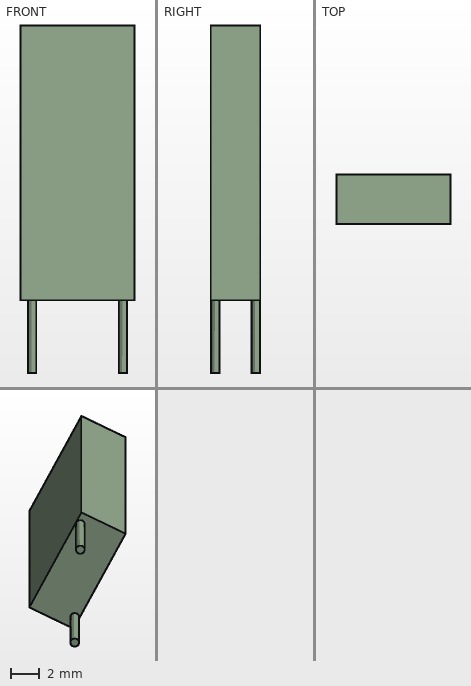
import cadquery as cq

width = 8.0
depth = 3.5
total_height = 24.4

lead_diameter = 0.6
lead_length = 5.1
lead_spacing = 6.37
lead_row_spacing = 2.83

housing_height = total_height - lead_length
lead_x = lead_spacing / 2
lead_y = lead_row_spacing / 2


def make_housing():
    """Plain rectangular block."""
    return cq.Workplane("XY").box(width, depth, housing_height, centered=(True, True, False))


def make_lead(x, y):
    """Round wire that hangs from the underside of the housing."""
    return cq.Workplane("XY").center(x, y).circle(lead_diameter / 2).extrude(-lead_length)


housing = make_housing()
leads = [make_lead(side * lead_x, -side * lead_y) for side in (-1, 1)]

result = cq.Compound.makeCompound([housing.val(), *[lead.val() for lead in leads]])